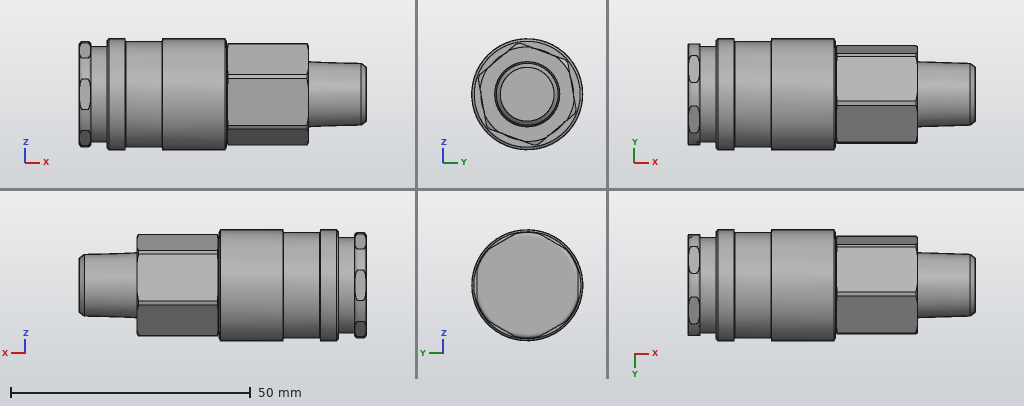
import cadquery as cq

total_length = 59.85
collar_end = 2.45
neck_end = 5.8
ring_end = 9.6
sleeve_start = 17.4
sleeve_end = 30.7
hex_start = 30.9
hex_end = 47.8

collar_diameter = 22.0
collar_rounding = 0.8
collar_across_flats = 21.05

neck_diameter = 20.0
body_diameter = 23.15
band_diameter = 22.0
band_foot = 0.2
ring_chamfer = 0.4
sleeve_chamfer_length = 0.35
sleeve_chamfer_depth = 0.55
relief_diameter = 19.35

hex_across_flats = 19.0
hex_corner_diameter = 21.4
hex_flat_angle = 10.0
hex_sleeve_chamfer_length = 0.2
hex_stud_chamfer_length = 0.35
hex_chamfer_depth = 0.85

stud_root_diameter = 13.6
stud_taper = 1 / 16
stud_chamfer_length = 1.1
stud_chamfer_depth = 0.85


def turned(profile):
    """Solid of revolution around X from (x, radius) points, closed along the axis."""
    start = profile[0][0]
    end = profile[-1][0]
    outline = [(start, 0), *profile, (end, 0)]
    return cq.Workplane("XY").polyline(outline).close().revolve(360, (0, 0, 0), (1, 0, 0))


def hexagonal_bar(start, end, across_flats, flat_angle=0):
    """Hexagonal prism along X; flat_angle turns its flats from Y toward Z, in degrees."""
    return (
        cq.Workplane("YZ", origin=(start, 0, 0))
        .transformed(rotate=(0, 0, flat_angle))
        .polygon(6, across_flats, circumscribed=True)
        .extrude(end - start)
    )


def release_collar():
    """Rounded disc with six flats; the first flat faces Y."""
    disc = cq.Workplane("YZ").circle(collar_diameter / 2).extrude(collar_end)
    disc = disc.edges().fillet(collar_rounding)
    return disc.intersect(hexagonal_bar(0, collar_end, collar_across_flats))


def turned_body():
    """Neck, ring, band, sleeve and relief, revolved as one profile around X."""
    neck_radius = neck_diameter / 2
    body_radius = body_diameter / 2
    band_radius = band_diameter / 2
    relief_radius = relief_diameter / 2
    profile = [
        (collar_end, neck_radius),
        (neck_end, neck_radius),
        (neck_end, body_radius - ring_chamfer),
        (neck_end + ring_chamfer, body_radius),
        (ring_end, body_radius),
        (ring_end, band_radius + band_foot),
        (ring_end + band_foot, band_radius),
        (sleeve_start - band_foot, band_radius),
        (sleeve_start, band_radius + band_foot),
        (sleeve_start, body_radius),
        (sleeve_end - sleeve_chamfer_length, body_radius),
        (sleeve_end, body_radius - sleeve_chamfer_depth),
        (sleeve_end, relief_radius),
        (hex_start, relief_radius),
    ]
    return turned(profile)


def wrench_hexagon():
    """Hexagonal bar trimmed by a turned envelope that is coned at both ends."""
    corner_radius = hex_corner_diameter / 2
    end_radius = corner_radius - hex_chamfer_depth
    profile = [
        (hex_start, end_radius),
        (hex_start + hex_sleeve_chamfer_length, corner_radius),
        (hex_end - hex_stud_chamfer_length, corner_radius),
        (hex_end, end_radius),
    ]
    envelope = turned(profile)
    bar = hexagonal_bar(hex_start, hex_end, hex_across_flats, hex_flat_angle)
    return bar.intersect(envelope)


def tapered_stud():
    """Plain conical stud with a chamfered tip."""
    root_radius = stud_root_diameter / 2
    taper_end = total_length - stud_chamfer_length
    taper_end_radius = root_radius - (taper_end - hex_end) * stud_taper / 2
    tip_radius = taper_end_radius - stud_chamfer_depth
    profile = [
        (hex_end, root_radius),
        (taper_end, taper_end_radius),
        (total_length, tip_radius),
    ]
    return turned(profile)


result = release_collar().union(turned_body()).union(wrench_hexagon()).union(tapered_stud())